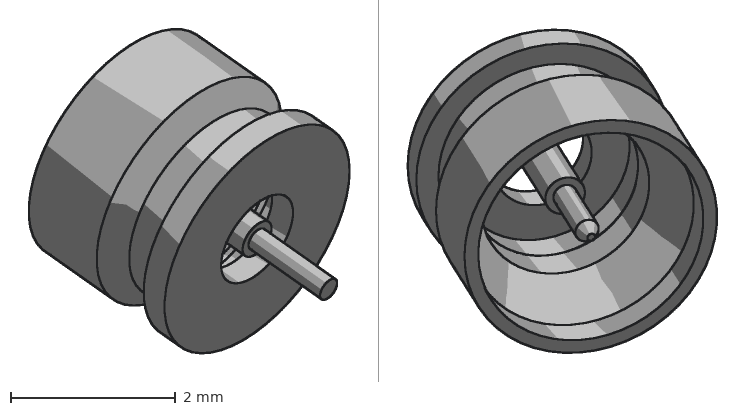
import cadquery as cq


mouth_x = 0.02
shoulder_x = 1.18
neck_x = 1.455
flange_x = 1.977
back_x = 2.332
lip_end_x = 0.41
funnel_end_x = 1.05
relief_x = 1.51
relief_end_x = 1.573
floor_x = flange_x

outer_diameter = 3.22
outer_radius = outer_diameter / 2
neck_radius = 1.328
mouth_radius = 1.435
socket_radius = 1.07
relief_radius = 1.108
bore_radius = 0.625

pin_length = 3.55
pin_radius = 0.15
tip_radius = 0.05
tip_length = 0.175
collar_radius = 0.252
collar_x = 1.065
collar_end_x = back_x


def revolve_about_x(outline):
    """Turn a closed (X, radius) outline into a round solid about the X axis."""
    return cq.Workplane("XY").polyline(outline).close().revolve(360, (0, 0, 0), (1, 0, 0))


def make_housing():
    """Necked, flanged shell with a funnel mouth, a back-relieved socket and a through bore."""
    outside = [
        (mouth_x, outer_radius),
        (shoulder_x, outer_radius),
        (neck_x, neck_radius),
        (flange_x, neck_radius),
        (flange_x, outer_radius),
        (back_x, outer_radius),
    ]
    inside = [
        (back_x, bore_radius),
        (floor_x, bore_radius),
        (floor_x, relief_radius),
        (relief_end_x, relief_radius),
        (relief_x, socket_radius),
        (funnel_end_x, socket_radius),
        (lip_end_x, mouth_radius),
        (mouth_x, mouth_radius),
    ]
    return revolve_about_x(outside + inside)


def make_pin():
    """Slim contact pin with a blunt conical tip and a collar that runs through the bore."""
    return revolve_about_x([
        (0, 0),
        (0, tip_radius),
        (tip_length, pin_radius),
        (collar_x, pin_radius),
        (collar_x, collar_radius),
        (collar_end_x, collar_radius),
        (collar_end_x, pin_radius),
        (pin_length, pin_radius),
        (pin_length, 0),
    ])


housing = make_housing()
pin = make_pin()

result = cq.Compound.makeCompound([housing.val(), pin.val()])